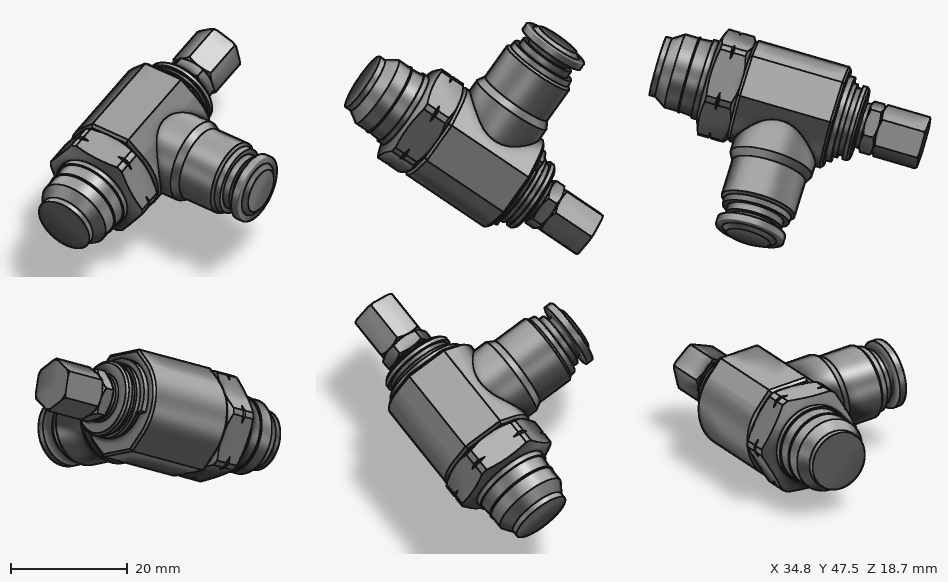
import cadquery as cq
import math


BRANCH_TILT = 5.7

SLEEVE_RADIUS = 9.0
SLEEVE_LENGTH = 17.0
SLEEVE_TOP_CHAMFER = 0.4
SLEEVE_BOTTOM_CHAMFER = 0.5
BORE_RADIUS = 6.0
sleeve_top_y = SLEEVE_LENGTH / 2
sleeve_bottom_y = -SLEEVE_LENGTH / 2
tangent_point = SLEEVE_RADIUS * math.cos(math.radians(45))
flat_half_width = SLEEVE_RADIUS * math.tan(math.radians(22.5))

SHOULDER_RADIUS = 7.3
SHOULDER_END = 11.15
BARREL_RADIUS = 6.55
BARREL_START = 12.5
BARREL_END = 19.0
LIP_START = 19.45
LIP_START_RADIUS = 6.05
LIP_END = 20.5
LIP_END_RADIUS = 5.9
COLLAR_RADIUS = 5.0
COLLAR_END = 21.8
NECK_RADIUS = 4.0
RELEASE_RING_START = 22.95
RELEASE_RING_END = 24.3
RELEASE_RING_RADIUS = 6.05
RELEASE_RING_ROUND = 0.2
NECK_FILLET = 0.4
END_CONE_BASE_RADIUS = 4.8
END_CONE_TIP_RADIUS = 3.9
BRANCH_END = 25.0

HEX_ACROSS_FLATS = 17.0
HEX_TURNED_RADIUS = 9.5
HEX_HEIGHT = 6.0
HEX_TOP_FACE_RADIUS = 8.6
HEX_TOP_BEVEL = 0.6
HEX_BOTTOM_BEVEL = 0.9
HEX_GROOVE_DEPTH = 0.45
HEX_GROOVE_WIDTH = 0.45
hex_top_y = sleeve_bottom_y
hex_bottom_y = hex_top_y - HEX_HEIGHT
hex_groove_y = hex_top_y - HEX_HEIGHT / 2

COLLAR_BELOW_HEX_RADIUS = 7.0
COLLAR_BELOW_HEX_LENGTH = 1.0
THREAD_START_RADIUS = 6.7
THREAD_END_RADIUS = 6.5
THREAD_END_Y = -17.8
RIDGE_RADIUS = 6.7
RIDGE_WIDTH = 0.2
NOSE_RADIUS = 6.55
NOSE_CONE_START_Y = -20.45
NOSE_CONE_END_Y = -22.45
TIP_RADIUS = 5.25
STEM_BOTTOM_Y = -23.5
thread_start_y = hex_bottom_y - COLLAR_BELOW_HEX_LENGTH

CLIP_RADIUS = 7.55
CLIP_THICKNESS = 1.0
CLIP_GAP = 0.1
CLIP_OPENING_Z = -3.35
HEAD_RADIUS = 6.55
HEAD_GROOVE_RADIUS = 6.0
HEAD_GROOVE_BOTTOM_Y = 10.4
HEAD_GROOVE_TOP_Y = 11.4
HEAD_TOP_Y = 12.55
HEAD_CHAMFER = 0.4
SPINDLE_RADIUS = 3.95
SPINDLE_FOOT_RADIUS = 4.25
SPINDLE_FOOT_HEIGHT = 0.35
clip_bottom_y = sleeve_top_y + CLIP_GAP
clip_top_y = clip_bottom_y + CLIP_THICKNESS

NUT_ACROSS_FLATS = 8.0
NUT_BOTTOM_Y = 13.6
NUT_TOP_Y = 16.0
KNOB_TOP_Y = 24.0
KNOB_TURN = 17.0
KNOB_TOP_FACE_RADIUS = 4.3
KNOB_TOP_BEVEL = 0.2
HEX_NUT_BEVEL = 0.35
nut_face_radius = NUT_ACROSS_FLATS / 2
nut_corner_radius = nut_face_radius / math.cos(math.radians(30))


def turned_about_y(points):
    """Revolve a closed (radius, y) outline about the Y axis."""
    return cq.Workplane("XY").polyline(points).close().revolve(360, (0, 0, 0), (0, 1, 0))


def cylinder_along_y(radius, bottom_y, top_y):
    return turned_about_y([(0, bottom_y), (radius, bottom_y), (radius, top_y), (0, top_y)])


def hexagon_along_y(across_flats, bottom_y, top_y):
    """Hexagonal prism along Y with two corners on the X axis."""
    corner_diameter = across_flats / math.cos(math.radians(30))
    base = cq.Workplane("XZ", origin=(0, bottom_y, 0))
    return base.polygon(6, corner_diameter).extrude(bottom_y - top_y)


def make_branch():
    """Stepped branch along X, ending in the release ring and its conical end."""
    arc_middle = math.cos(math.radians(45))
    fillet_start = RELEASE_RING_START - NECK_FILLET
    fillet_top = NECK_RADIUS + NECK_FILLET
    fillet_middle = (
        fillet_start + NECK_FILLET * arc_middle,
        fillet_top - NECK_FILLET * arc_middle,
    )
    round_start = RELEASE_RING_END - RELEASE_RING_ROUND
    round_foot = RELEASE_RING_RADIUS - RELEASE_RING_ROUND
    round_middle = (
        round_start + RELEASE_RING_ROUND * arc_middle,
        round_foot + RELEASE_RING_ROUND * arc_middle,
    )
    body_points = [
        (0, 0),
        (0, SHOULDER_RADIUS),
        (SHOULDER_END, SHOULDER_RADIUS),
        (BARREL_START, BARREL_RADIUS),
        (BARREL_END, BARREL_RADIUS),
        (LIP_START, LIP_START_RADIUS),
        (LIP_END, LIP_END_RADIUS),
        (LIP_END, COLLAR_RADIUS),
        (COLLAR_END, COLLAR_RADIUS),
        (COLLAR_END, NECK_RADIUS),
        (fillet_start, NECK_RADIUS),
    ]
    outline = (
        cq.Workplane("XY")
        .polyline(body_points)
        .threePointArc(fillet_middle, (RELEASE_RING_START, fillet_top))
        .lineTo(RELEASE_RING_START, RELEASE_RING_RADIUS)
        .lineTo(round_start, RELEASE_RING_RADIUS)
        .threePointArc(round_middle, (RELEASE_RING_END, round_foot))
        .lineTo(RELEASE_RING_END, END_CONE_BASE_RADIUS)
        .lineTo(BRANCH_END, END_CONE_TIP_RADIUS)
        .lineTo(BRANCH_END, 0)
        .close()
    )
    return outline.revolve(360, (0, 0, 0), (1, 0, 0))


def make_sleeve():
    """Round sleeve with octagon corners at top and bottom, and the branch on its +X side."""
    profile = (
        cq.Workplane("XZ", origin=(0, sleeve_bottom_y, 0))
        .moveTo(tangent_point, tangent_point)
        .lineTo(flat_half_width, SLEEVE_RADIUS)
        .lineTo(-flat_half_width, SLEEVE_RADIUS)
        .lineTo(-tangent_point, tangent_point)
        .threePointArc((-SLEEVE_RADIUS, 0), (-tangent_point, -tangent_point))
        .lineTo(-flat_half_width, -SLEEVE_RADIUS)
        .lineTo(flat_half_width, -SLEEVE_RADIUS)
        .lineTo(tangent_point, -tangent_point)
        .threePointArc((SLEEVE_RADIUS, 0), (tangent_point, tangent_point))
        .close()
    )
    shell = profile.extrude(-SLEEVE_LENGTH)
    shell = shell.faces(">Y").chamfer(SLEEVE_TOP_CHAMFER)
    shell = shell.faces("<Y").chamfer(SLEEVE_BOTTOM_CHAMFER)
    bore = cylinder_along_y(BORE_RADIUS, sleeve_bottom_y, sleeve_top_y)
    upright = shell.union(make_branch()).cut(bore)
    return upright.rotate((0, 0, 0), (0, 1, 0), -BRANCH_TILT)


def make_large_hexagon():
    """Hexagon with turned corners, bevelled ends and a V groove around its middle."""
    half_groove = HEX_GROOVE_WIDTH / 2
    turned = turned_about_y([
        (0, hex_bottom_y),
        (COLLAR_BELOW_HEX_RADIUS, hex_bottom_y),
        (HEX_TURNED_RADIUS, hex_bottom_y + HEX_BOTTOM_BEVEL),
        (HEX_TURNED_RADIUS, hex_groove_y - half_groove),
        (HEX_TURNED_RADIUS - HEX_GROOVE_DEPTH, hex_groove_y),
        (HEX_TURNED_RADIUS, hex_groove_y + half_groove),
        (HEX_TURNED_RADIUS, hex_top_y - HEX_TOP_BEVEL),
        (HEX_TOP_FACE_RADIUS, hex_top_y),
        (0, hex_top_y),
    ])
    return hexagon_along_y(HEX_ACROSS_FLATS, hex_bottom_y, hex_top_y).intersect(turned)


def make_nose():
    return turned_about_y([
        (0, hex_bottom_y),
        (COLLAR_BELOW_HEX_RADIUS, hex_bottom_y),
        (COLLAR_BELOW_HEX_RADIUS, thread_start_y),
        (THREAD_START_RADIUS, thread_start_y),
        (THREAD_END_RADIUS, THREAD_END_Y),
        (RIDGE_RADIUS, THREAD_END_Y),
        (RIDGE_RADIUS, THREAD_END_Y - RIDGE_WIDTH),
        (NOSE_RADIUS, THREAD_END_Y - RIDGE_WIDTH),
        (NOSE_RADIUS, NOSE_CONE_START_Y),
        (TIP_RADIUS, NOSE_CONE_END_Y),
        (TIP_RADIUS, STEM_BOTTOM_Y),
        (0, STEM_BOTTOM_Y),
    ])


def make_clip():
    """Retaining clip on the stem, cut off straight where it opens."""
    disc = cylinder_along_y(CLIP_RADIUS, clip_bottom_y, clip_top_y)
    kept_height = CLIP_RADIUS - CLIP_OPENING_Z
    kept = (
        cq.Workplane("XY", origin=(0, clip_bottom_y, CLIP_OPENING_Z))
        .rect(2 * CLIP_RADIUS, 2 * CLIP_RADIUS)
        .extrude(kept_height)
    )
    return disc.intersect(kept)


def make_core_and_head():
    """Round core through the sleeve bore, the grooved head and the spindle up to the nut."""
    return turned_about_y([
        (0, hex_top_y),
        (BORE_RADIUS, hex_top_y),
        (BORE_RADIUS, clip_top_y),
        (HEAD_RADIUS, clip_top_y),
        (HEAD_RADIUS, HEAD_GROOVE_BOTTOM_Y),
        (HEAD_GROOVE_RADIUS, HEAD_GROOVE_BOTTOM_Y),
        (HEAD_GROOVE_RADIUS, HEAD_GROOVE_TOP_Y),
        (HEAD_RADIUS, HEAD_GROOVE_TOP_Y),
        (HEAD_RADIUS, HEAD_TOP_Y - HEAD_CHAMFER),
        (HEAD_RADIUS - HEAD_CHAMFER, HEAD_TOP_Y),
        (SPINDLE_FOOT_RADIUS, HEAD_TOP_Y),
        (SPINDLE_RADIUS, HEAD_TOP_Y + SPINDLE_FOOT_HEIGHT),
        (SPINDLE_RADIUS, NUT_BOTTOM_Y),
        (0, NUT_BOTTOM_Y),
    ])


def make_small_hexagon(bottom_y, top_y, top_face_radius, top_bevel):
    """Hexagon of the nut size with its corners bevelled at both ends."""
    turned = turned_about_y([
        (0, bottom_y),
        (nut_face_radius, bottom_y),
        (nut_corner_radius, bottom_y + HEX_NUT_BEVEL),
        (nut_corner_radius, top_y - top_bevel),
        (top_face_radius, top_y),
        (0, top_y),
    ])
    return hexagon_along_y(NUT_ACROSS_FLATS, bottom_y, top_y).intersect(turned)


def make_stem():
    nut = make_small_hexagon(NUT_BOTTOM_Y, NUT_TOP_Y, nut_face_radius, HEX_NUT_BEVEL)
    knob = make_small_hexagon(NUT_TOP_Y, KNOB_TOP_Y, KNOB_TOP_FACE_RADIUS, KNOB_TOP_BEVEL)
    knob = knob.rotate((0, 0, 0), (0, 1, 0), KNOB_TURN)
    stem = make_nose().union(make_large_hexagon()).union(make_core_and_head())
    return stem.union(make_clip()).union(nut).union(knob)


sleeve = make_sleeve()
stem = make_stem()

result = cq.Compound.makeCompound([sleeve.val(), stem.val()])